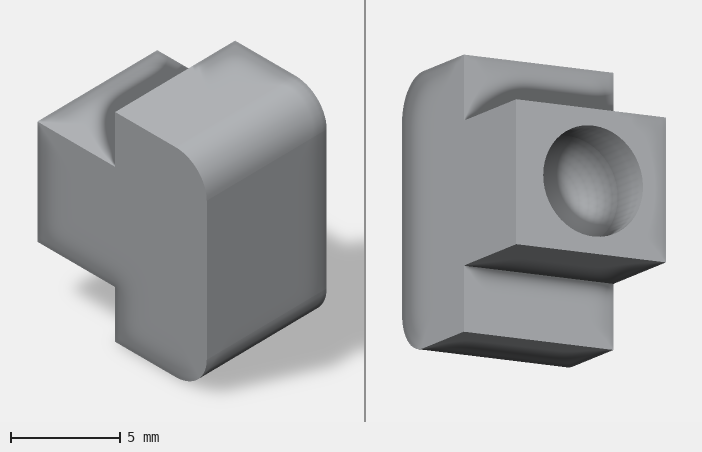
import cadquery as cq
import math

length = 10.9
width = 7.8
height = 13.0

stem_length = 5.0
stem_height = 6.8
head_corner_radius = 2.0

hole_diameter = 5.2
hole_depth = stem_length
hole_offset_y = -0.1


def make_body():
    """Stem and head centred on Y and Z, with the stem end on X = 0."""
    stem = cq.Workplane("XY").box(length, width, stem_height, centered=(False, True, True))
    head = (
        cq.Workplane("XY")
        .box(length - stem_length, width, height, centered=(False, True, True))
        .edges("|Y and >X")
        .fillet(head_corner_radius)
        .translate((stem_length, 0, 0))
    )
    return stem.union(head)


def make_hole():
    """Cylinder along X closed by a hemisphere of the same radius, revolved from its half section."""
    radius = hole_diameter / 2
    straight_depth = hole_depth - radius
    arc_middle = (straight_depth + radius * math.sqrt(0.5), radius * math.sqrt(0.5))
    return (
        cq.Workplane("XY")
        .lineTo(0, radius)
        .lineTo(straight_depth, radius)
        .threePointArc(arc_middle, (hole_depth, 0))
        .close()
        .revolve(360, (0, 0, 0), (1, 0, 0))
        .translate((0, hole_offset_y, 0))
    )


result = make_body().cut(make_hole())